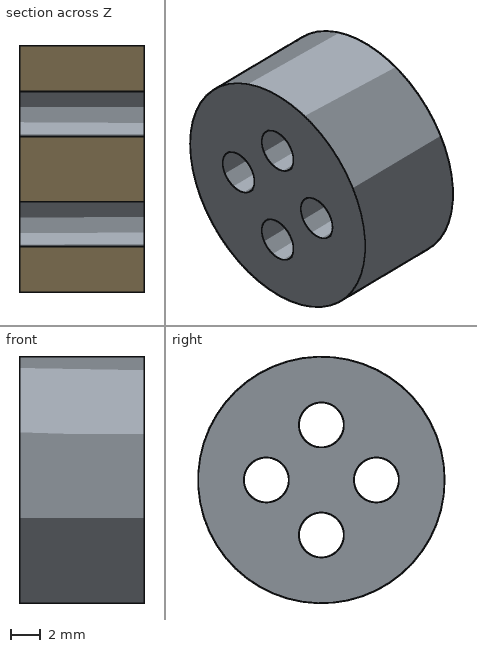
import cadquery as cq

disc_diameter = 16.6
disc_thickness = 8.4
hole_diameter = 3.0
hole_circle_diameter = 7.4
hole_count = 4

disc = cq.Workplane("YZ").circle(disc_diameter / 2).extrude(disc_thickness)

holes = (
    cq.Workplane("YZ")
    .polarArray(hole_circle_diameter / 2, 0, 360, hole_count)
    .circle(hole_diameter / 2)
    .extrude(disc_thickness)
)

result = disc.cut(holes)